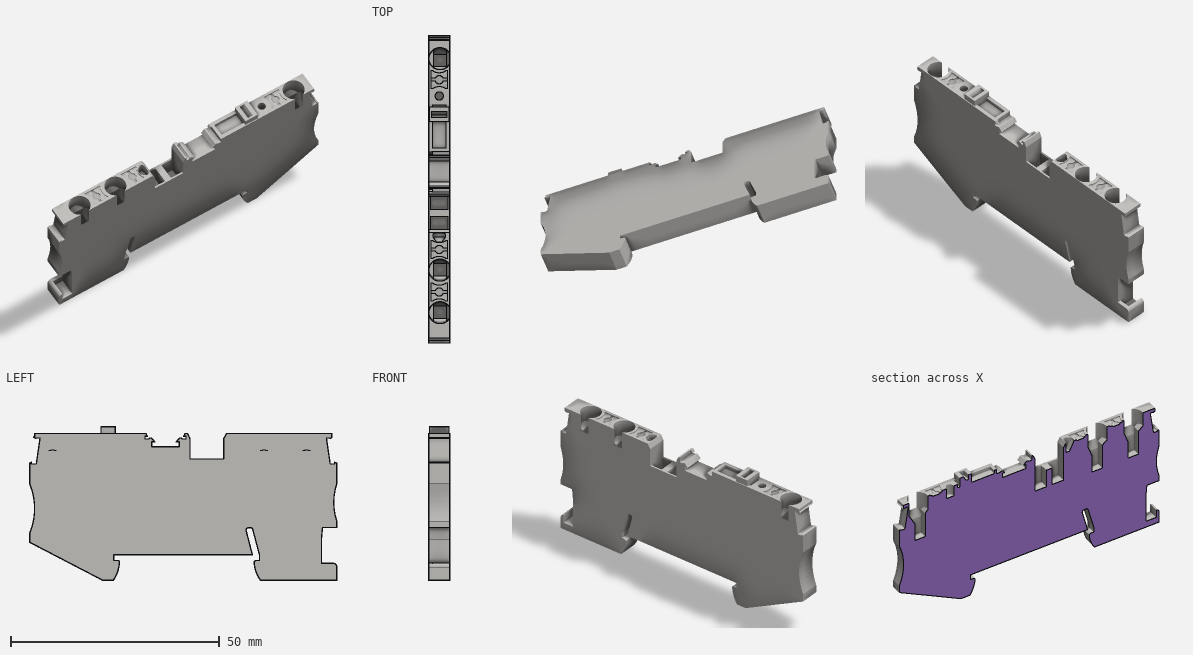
import cadquery as cq


WIDTH = 5.15
LENGTH = 73.7
TOTAL_HEIGHT = 36.85
TOP = 35.2
MID_X = WIDTH / 2

SHOULDER_Z = 27.9
SHOULDER_LIP = 0.4
SHOULDER_LIP_FALL = 0.2
FRONT_SHOULDER_LIP_WIDTH = 0.6
BACK_SHOULDER_LIP_WIDTH = 0.45
FRONT_WAIST_Y = 1.6
BACK_WAIST_Y = 72.1
WAIST_LEAN = 0.9
FRONT_EAVE_Y = 1.2
FRONT_HOOK_Y = 1.7
BACK_EAVE_Y = 72.5
BACK_HOOK_Y = 72.1
BACK_EAVE_TIP_Y = 72.8
EAVE_Z = 34.1
HOOK_DROP = 0.15
FRONT_EAVE_RISE = 0.1
BACK_EAVE_TIP_RISE = 0.2
BACK_EAVE_RISE = 0.35
GRIP_TOP_Z = 23.2
FRONT_GRIP_BOTTOM_Z = 14.15
FRONT_GRIP_DEPTH = 0.75
BACK_GRIP_BOTTOM_Z = 11.2
BACK_GRIP_DEPTH = 1.2
NOTCH_FLOOR_Z = 4.1
NOTCH_BACK_Y = 3.7
NOTCH_LIP_Y = 0.9
NOTCH_TOP_Z = 12.6
NOTCH_BEND_Z = 9.8
NOTCH_LEAN = 0.25
NOTCH_LIP_START_Z = 3.1
NOTCH_LIP_MID = (0.25, 3.8)
RAIL_Z = 6.1
CLAW_TOP_Z = 4.8
CLAW_NOSE_DROP = 0.3
UNDERSIDE_END_Z = 9.1
UNDERSIDE_FOOT_Y = 56.2
FIXED_CLAW_FOOT_Y = 53.6
FIXED_CLAW_MID = (52.55, 2.1)
FIXED_CLAW_NOSE_Y = 52.1
FIXED_CLAW_BEVEL_Y = 52.45
FIXED_CLAW_ROOT_Y = 53.45
SPRING_CLAW_FOOT_Y = 18.35
SPRING_CLAW_MID = (19.5, 2.2)
SPRING_CLAW_NOSE_Y = 19.9
SPRING_CLAW_BEVEL_Y = 19.4
SPRING_CLAW_ROOT_Y = 18.6
RELIEF_MOUTH_Y = 20.25
RELIEF_TOP_Z = 12.55
RELIEF_BACK_CORNER = (21.75, 11.9)
RELIEF_CORNER_MID = (21.65, 12.35)
RELIEF_TOP_BACK_Y = 21.3
RELIEF_TOP_FRONT_Y = 20.5
RELIEF_CHAMFER = 0.25
VALLEY_Z = 29.1
VALLEY_FRONT_Y = 27.2
VALLEY_BACK_Y = 35.2
VALLEY_BEVEL_Z = 33.9
VALLEY_FRONT_BEVEL = 0.7
VALLEY_BACK_BEVEL = 0.6
MARKER_STEP_Z = 33.9
MARKER_RIDGE_Z = 34.15
MARKER_LEDGE_Z = 33.15
MARKER_FLOOR_Z = 32.05
MARKER_FRONT_Y = 36.2
MARKER_BACK_Y = 46.0
SHELF_WIDTH = 0.9
RIDGE_START = 1.1
RIDGE_END = 1.5
SNAP_REACH = 2.38
CHANNEL_INSET = 1.65

LIP_WIDTH = 0.9
LIP_TOP_REACH = 0.2
LIP_REACH = 0.6
LIP_OVERLAP = 0.1
LIP_UNDERSIDE_Z = 34.5

TROUGH_WALL = 0.9
TROUGH_DEPTH = 2.2

ENTRY_RADIUS = 2.65
ENTRY_X = 2.75
ENTRY_DEPTH = 4.0
BACK_TAPER_DEPTH = 3.0
FRONT_TAPER_DEPTH = 1.0
WIRE_HOLE_WIDTH = 3.1
WIRE_HOLE_DEPTH = 12.0
ENTRIES = [(7.3, 5.95, 8.85), (17.5, 16.15, 19.05), (68.2, 66.35, 69.2)]
BUTTON_YS = [12.25, 22.45, 63.15]
BUTTON_WIDTH = 3.85
BUTTON_LENGTH = 4.3
BUTTON_RECESS = 0.35
BUTTON_ARC_RADIUS = 2.9
BUTTON_ARC_OFFSET = 4.55
BUTTON_DIMPLE_RADIUS = 1.0
BUTTON_SLOT_WIDTH = 0.7
BUTTON_DIMPLE_DEPTH = 0.35

TEST_HOLE_Y = 59.25
TEST_HOLE_RADIUS = 1.0
TEST_HOLE_DEPTH = 3.0
SOCKET_FRONT_Y = 24.3
SOCKET_RAMP_END_Y = 25.5
SOCKET_SHOULDER_Y = 26.1
SOCKET_BACK_Y = 26.4
SOCKET_NARROW_WIDTH = 1.4
SOCKET_WIDE_WIDTH = 3.1
SOCKET_BACK_WIDTH = 1.9
SOCKET_DEPTH = 3.0
SOCKET_FRONT_DEPTH = 0.6

SHAFT_WIDTH = 4.3
SHAFT_LENGTH = 3.15
SHAFT_DEPTH = 5.0

POCKET_WIDTH = 3.3
POCKET_FRONT_Y = 46.8
POCKET_BACK_Y = 57.1
POCKET_DEPTH = 1.0
TAB_WIDTH = 4.75
TAB_FRONT_Y = 53.1
TAB_BACK_Y = 56.6
TAB_SLOT_WIDTH = 3.8
TAB_SLOT_FRONT_Y = 54.1
TAB_SLOT_FLOOR_BACK_Y = 54.7
TAB_SLOT_BACK_Y = 55.5
TAB_SLOT_DEPTH = 1.4


def side_prism(points, x_start, x_end):
    """Prism with a closed (y, z) outline, running along X."""
    plane = cq.Workplane("YZ").workplane(offset=x_start)
    return plane.polyline(points).close().extrude(x_end - x_start)


def block(width, front_y, back_y, bottom_z, top_z):
    """Box centred across the housing."""
    size = (width, back_y - front_y, top_z - bottom_z)
    corner = (MID_X - width / 2, front_y, bottom_z)
    return cq.Workplane("XY").box(*size, centered=False).translate(corner)


def cylinder(x, y, radius, bottom_z, top_z):
    """Upright cylinder."""
    base = cq.Workplane("XY").workplane(offset=bottom_z)
    return base.center(x, y).circle(radius).extrude(top_z - bottom_z)


def make_housing():
    """Side profile extruded across the full width, without the snap lips."""
    lip_top = SHOULDER_Z + SHOULDER_LIP
    hook_z = EAVE_Z - HOOK_DROP
    front_grip_mid = (FRONT_GRIP_DEPTH, (GRIP_TOP_Z + FRONT_GRIP_BOTTOM_Z) / 2)
    back_grip_mid = (LENGTH - BACK_GRIP_DEPTH, (GRIP_TOP_Z + BACK_GRIP_BOTTOM_Z) / 2)
    profile = (
        cq.Workplane("YZ")
        .moveTo(0, 0)
        .lineTo(0, NOTCH_LIP_START_Z)
        .threePointArc(NOTCH_LIP_MID, (NOTCH_LIP_Y, NOTCH_FLOOR_Z))
        .lineTo(NOTCH_BACK_Y, NOTCH_FLOOR_Z)
        .lineTo(NOTCH_BACK_Y, NOTCH_BEND_Z)
        .lineTo(NOTCH_BACK_Y - NOTCH_LEAN, NOTCH_TOP_Z)
        .lineTo(0, NOTCH_TOP_Z)
        .lineTo(0, FRONT_GRIP_BOTTOM_Z)
        .threePointArc(front_grip_mid, (0, GRIP_TOP_Z))
        .lineTo(0, lip_top - SHOULDER_LIP_FALL)
        .lineTo(FRONT_SHOULDER_LIP_WIDTH, lip_top)
        .lineTo(FRONT_SHOULDER_LIP_WIDTH, SHOULDER_Z)
        .lineTo(FRONT_WAIST_Y, SHOULDER_Z)
        .lineTo(FRONT_WAIST_Y + WAIST_LEAN, EAVE_Z)
        .lineTo(FRONT_HOOK_Y, EAVE_Z)
        .lineTo(FRONT_HOOK_Y, hook_z)
        .lineTo(FRONT_EAVE_Y, EAVE_Z + FRONT_EAVE_RISE)
        .lineTo(FRONT_EAVE_Y, TOP)
        .lineTo(VALLEY_FRONT_Y - VALLEY_FRONT_BEVEL, TOP)
        .lineTo(VALLEY_FRONT_Y, VALLEY_BEVEL_Z)
        .lineTo(VALLEY_FRONT_Y, VALLEY_Z)
        .lineTo(VALLEY_BACK_Y, VALLEY_Z)
        .lineTo(VALLEY_BACK_Y, VALLEY_BEVEL_Z)
        .lineTo(VALLEY_BACK_Y + VALLEY_BACK_BEVEL, TOP)
        .lineTo(MARKER_FRONT_Y, TOP)
        .lineTo(MARKER_FRONT_Y, MARKER_STEP_Z)
        .lineTo(MARKER_FRONT_Y + SHELF_WIDTH, MARKER_STEP_Z)
        .lineTo(MARKER_FRONT_Y + RIDGE_START, MARKER_RIDGE_Z)
        .lineTo(MARKER_FRONT_Y + RIDGE_END, MARKER_RIDGE_Z)
        .lineTo(MARKER_FRONT_Y + SNAP_REACH, MARKER_LEDGE_Z)
        .lineTo(MARKER_FRONT_Y + CHANNEL_INSET, MARKER_LEDGE_Z)
        .lineTo(MARKER_FRONT_Y + CHANNEL_INSET, MARKER_FLOOR_Z)
        .lineTo(MARKER_BACK_Y - CHANNEL_INSET, MARKER_FLOOR_Z)
        .lineTo(MARKER_BACK_Y - CHANNEL_INSET, MARKER_LEDGE_Z)
        .lineTo(MARKER_BACK_Y - SNAP_REACH, MARKER_LEDGE_Z)
        .lineTo(MARKER_BACK_Y - RIDGE_END, MARKER_RIDGE_Z)
        .lineTo(MARKER_BACK_Y - RIDGE_START, MARKER_RIDGE_Z)
        .lineTo(MARKER_BACK_Y - SHELF_WIDTH, MARKER_STEP_Z)
        .lineTo(MARKER_BACK_Y, MARKER_STEP_Z)
        .lineTo(MARKER_BACK_Y, TOP)
        .lineTo(BACK_EAVE_Y, TOP)
        .lineTo(BACK_EAVE_Y, EAVE_Z + BACK_EAVE_RISE)
        .lineTo(BACK_EAVE_TIP_Y, EAVE_Z + BACK_EAVE_TIP_RISE)
        .lineTo(BACK_HOOK_Y, hook_z)
        .lineTo(BACK_HOOK_Y, EAVE_Z)
        .lineTo(BACK_WAIST_Y - WAIST_LEAN, EAVE_Z)
        .lineTo(BACK_WAIST_Y, SHOULDER_Z)
        .lineTo(LENGTH - BACK_SHOULDER_LIP_WIDTH, SHOULDER_Z)
        .lineTo(LENGTH - BACK_SHOULDER_LIP_WIDTH, lip_top)
        .lineTo(LENGTH, lip_top - SHOULDER_LIP_FALL)
        .lineTo(LENGTH, GRIP_TOP_Z)
        .threePointArc(back_grip_mid, (LENGTH, BACK_GRIP_BOTTOM_Z))
        .lineTo(LENGTH, UNDERSIDE_END_Z)
        .lineTo(UNDERSIDE_FOOT_Y, 0)
        .lineTo(FIXED_CLAW_FOOT_Y, 0)
        .threePointArc(FIXED_CLAW_MID, (FIXED_CLAW_NOSE_Y, CLAW_TOP_Z - CLAW_NOSE_DROP))
        .lineTo(FIXED_CLAW_BEVEL_Y, CLAW_TOP_Z)
        .lineTo(FIXED_CLAW_ROOT_Y, CLAW_TOP_Z)
        .lineTo(FIXED_CLAW_ROOT_Y, RAIL_Z)
        .lineTo(RELIEF_MOUTH_Y, RAIL_Z)
        .lineTo(*RELIEF_BACK_CORNER)
        .threePointArc(RELIEF_CORNER_MID, (RELIEF_TOP_BACK_Y, RELIEF_TOP_Z))
        .lineTo(RELIEF_TOP_FRONT_Y, RELIEF_TOP_Z)
        .lineTo(RELIEF_TOP_FRONT_Y - RELIEF_CHAMFER, RELIEF_TOP_Z - RELIEF_CHAMFER)
        .lineTo(SPRING_CLAW_ROOT_Y, RAIL_Z)
        .lineTo(SPRING_CLAW_ROOT_Y, CLAW_TOP_Z)
        .lineTo(SPRING_CLAW_BEVEL_Y, CLAW_TOP_Z)
        .lineTo(SPRING_CLAW_NOSE_Y, CLAW_TOP_Z - CLAW_NOSE_DROP)
        .threePointArc(SPRING_CLAW_MID, (SPRING_CLAW_FOOT_Y, 0))
        .close()
    )
    return profile.extrude(WIDTH)


def make_snap_lips():
    """Two narrow wedge lips on the -X side that overhang the marker shelves."""
    lips = []
    for wall_y, direction in ((MARKER_FRONT_Y, 1), (MARKER_BACK_Y, -1)):
        root_y = wall_y - direction * LIP_OVERLAP
        tip_y = wall_y + direction * LIP_REACH
        points = [
            (root_y, TOP),
            (wall_y + direction * LIP_TOP_REACH, TOP),
            (tip_y, LIP_UNDERSIDE_Z),
            (root_y, LIP_UNDERSIDE_Z),
        ]
        lips.append(side_prism(points, 0, LIP_WIDTH))
    return lips[0].union(lips[1])


def make_wire_entry(center_y, hole_front_y, hole_back_y):
    """Round entry, then flat tapered sides down to a rectangular wire hole."""
    mouth_floor = TOP - ENTRY_DEPTH
    taper_floor = mouth_floor - BACK_TAPER_DEPTH
    front_taper_floor = mouth_floor - FRONT_TAPER_DEPTH
    front_y = center_y - ENTRY_RADIUS
    back_y = center_y + ENTRY_RADIUS
    left_x = ENTRY_X - ENTRY_RADIUS
    right_x = ENTRY_X + ENTRY_RADIUS
    hole_left_x = ENTRY_X - WIRE_HOLE_WIDTH / 2
    hole_right_x = ENTRY_X + WIRE_HOLE_WIDTH / 2

    lengthwise = [
        (front_y, mouth_floor),
        (back_y, mouth_floor),
        (hole_back_y, taper_floor),
        (hole_front_y, taper_floor),
        (hole_front_y, front_taper_floor),
    ]
    taper = side_prism(lengthwise, hole_left_x, hole_right_x)

    crosswise = [
        (left_x, mouth_floor),
        (right_x, mouth_floor),
        (hole_right_x, taper_floor),
        (hole_left_x, taper_floor),
        (hole_left_x, front_taper_floor),
    ]
    plane = cq.Workplane("XZ").workplane(offset=-back_y)
    sides = plane.polyline(crosswise).close().extrude(back_y - front_y)
    middle_size = (WIRE_HOLE_WIDTH, 2 * ENTRY_RADIUS, BACK_TAPER_DEPTH)
    middle = cq.Workplane("XY").box(*middle_size, centered=False)
    sides = sides.cut(middle.translate((hole_left_x, front_y, taper_floor)))

    envelope = cylinder(ENTRY_X, center_y, ENTRY_RADIUS, taper_floor, mouth_floor)
    taper = taper.union(sides).intersect(envelope)

    hole_size = (WIRE_HOLE_WIDTH, hole_back_y - hole_front_y, WIRE_HOLE_DEPTH - ENTRY_DEPTH)
    hole = cq.Workplane("XY").box(*hole_size, centered=False)
    hole = hole.translate((hole_left_x, hole_front_y, TOP - WIRE_HOLE_DEPTH))
    mouth = cylinder(ENTRY_X, center_y, ENTRY_RADIUS, mouth_floor, TOP)
    return mouth.union(taper).union(hole)


def make_button_recess(center_y):
    """Recess over a release button, with a deeper dimple and crosswise driver slot."""
    recess_floor = TOP - BUTTON_RECESS
    dimple_floor = recess_floor - BUTTON_DIMPLE_DEPTH
    half_length = BUTTON_LENGTH / 2
    recess = block(BUTTON_WIDTH, center_y - half_length, center_y + half_length, recess_floor, TOP)
    for direction in (-1, 1):
        arc_y = center_y + direction * BUTTON_ARC_OFFSET
        recess = recess.cut(cylinder(MID_X, arc_y, BUTTON_ARC_RADIUS, recess_floor, TOP))
    half_slot = BUTTON_SLOT_WIDTH / 2
    slot = block(BUTTON_WIDTH, center_y - half_slot, center_y + half_slot, dimple_floor, TOP)
    dimple = cylinder(MID_X, center_y, BUTTON_DIMPLE_RADIUS, dimple_floor, TOP)
    return recess.union(slot).union(dimple)


def make_test_socket():
    """Pocket that narrows toward -Y over a ramped floor."""
    half_widths = [
        (SOCKET_NARROW_WIDTH / 2, SOCKET_FRONT_Y),
        (SOCKET_WIDE_WIDTH / 2, SOCKET_RAMP_END_Y),
        (SOCKET_WIDE_WIDTH / 2, SOCKET_SHOULDER_Y),
        (SOCKET_BACK_WIDTH / 2, SOCKET_BACK_Y),
    ]
    right_side = [(MID_X + half, y) for half, y in half_widths]
    left_side = [(MID_X - half, y) for half, y in reversed(half_widths)]
    base = cq.Workplane("XY").workplane(offset=TOP - SOCKET_DEPTH)
    opening = base.polyline(right_side + left_side).close().extrude(SOCKET_DEPTH)
    depth_profile = [
        (SOCKET_FRONT_Y, TOP),
        (SOCKET_FRONT_Y, TOP - SOCKET_FRONT_DEPTH),
        (SOCKET_RAMP_END_Y, TOP - SOCKET_DEPTH),
        (SOCKET_BACK_Y, TOP - SOCKET_DEPTH),
        (SOCKET_BACK_Y, TOP),
    ]
    return opening.intersect(side_prism(depth_profile, 0, WIDTH))


def make_bridge_shafts():
    """Two rectangular shafts, one against each wall of the notch."""
    floor_z = VALLEY_Z - SHAFT_DEPTH
    front = block(SHAFT_WIDTH, VALLEY_FRONT_Y, VALLEY_FRONT_Y + SHAFT_LENGTH, floor_z, VALLEY_Z)
    back = block(SHAFT_WIDTH, VALLEY_BACK_Y - SHAFT_LENGTH, VALLEY_BACK_Y, floor_z, VALLEY_Z)
    return front.union(back)


def make_notch_trough():
    """Trough behind the notch lip that runs out through the +X side."""
    size = (WIDTH - TROUGH_WALL, NOTCH_BACK_Y - NOTCH_LIP_Y, TROUGH_DEPTH)
    trough = cq.Workplane("XY").box(*size, centered=False)
    return trough.translate((TROUGH_WALL, NOTCH_LIP_Y, NOTCH_FLOOR_Z - TROUGH_DEPTH))


def make_tab():
    """Tab rising from the top pocket, with a slot whose back wall slopes."""
    tab = block(TAB_WIDTH, TAB_FRONT_Y, TAB_BACK_Y, TOP - POCKET_DEPTH, TOTAL_HEIGHT)
    slot_floor = TOTAL_HEIGHT - TAB_SLOT_DEPTH
    slot_profile = [
        (TAB_SLOT_FRONT_Y, TOTAL_HEIGHT),
        (TAB_SLOT_FRONT_Y, slot_floor),
        (TAB_SLOT_FLOOR_BACK_Y, slot_floor),
        (TAB_SLOT_BACK_Y, TOTAL_HEIGHT),
    ]
    half_slot = TAB_SLOT_WIDTH / 2
    return tab.cut(side_prism(slot_profile, MID_X - half_slot, MID_X + half_slot))


result = make_housing().union(make_snap_lips())
for entry_y, hole_front, hole_back in ENTRIES:
    result = result.cut(make_wire_entry(entry_y, hole_front, hole_back))
for button_y in BUTTON_YS:
    result = result.cut(make_button_recess(button_y))
result = result.cut(cylinder(MID_X, TEST_HOLE_Y, TEST_HOLE_RADIUS, TOP - TEST_HOLE_DEPTH, TOP))
result = result.cut(make_test_socket())
result = result.cut(make_bridge_shafts())
result = result.cut(make_notch_trough())
result = result.cut(block(POCKET_WIDTH, POCKET_FRONT_Y, POCKET_BACK_Y, TOP - POCKET_DEPTH, TOP))
result = result.union(make_tab())